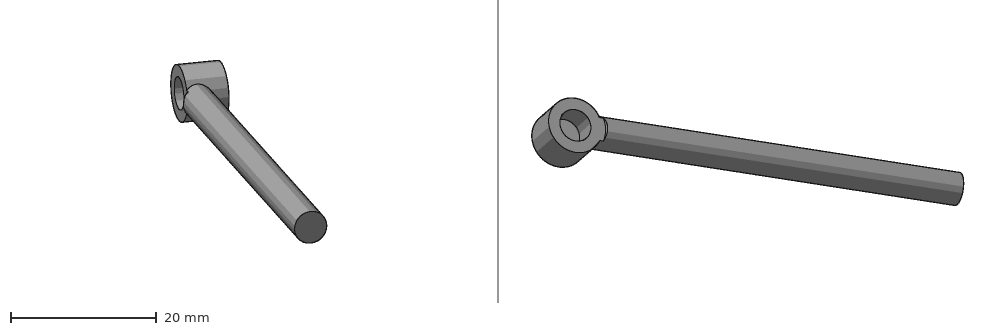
import cadquery as cq

overall_length = 61.6
overall_depth = 6.7

head_diameter = 8.0
head_depth = 6.0
bore_diameter = 4.6
bore_floor_thickness = 2.0
head_radius = head_diameter / 2
bore_depth = head_depth - bore_floor_thickness

rod_diameter = 4.6
rod_radius = rod_diameter / 2
rod_overhang = overall_depth - head_depth
rod_axis_y = rod_radius - rod_overhang
rod_end_x = overall_length - head_radius

clearance_radius = 4.5


def cylinder_along_y(radius, start_y, end_y):
    """Cylinder on the head axis between two Y positions."""
    return cq.Workplane("XZ", origin=(0, start_y, 0)).circle(radius).extrude(start_y - end_y)


def make_head():
    return cylinder_along_y(head_radius, 0, head_depth)


def make_rod():
    """Rod from the head axis to the far end, cut back around the open face."""
    rod = cq.Workplane("YZ").center(rod_axis_y, 0).circle(rod_radius).extrude(rod_end_x)
    return rod.cut(cylinder_along_y(clearance_radius, -rod_overhang, 0))


bore = cylinder_along_y(bore_diameter / 2, 0, bore_depth)

result = make_head().union(make_rod()).cut(bore)